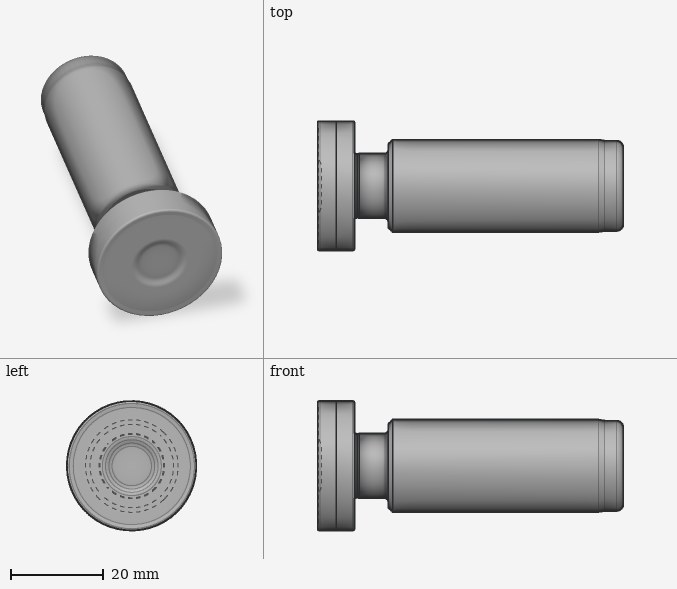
import cadquery as cq
import math

TOTAL_LENGTH = 66.0

HEAD_RADIUS = 28.0 / 2
HEAD_LENGTH = 8.0
CAP_LENGTH = HEAD_LENGTH / 2
HEAD_EDGE_ROUND = 0.45
DISH_RIM_RADIUS = 27.0 / 2
DISH_FLOOR_RADIUS = 25.3 / 2
DISH_DEPTH = 0.1
DIMPLE_MOUTH_RADIUS = 5.7
DIMPLE_WALL_WIDTH = 0.7
DIMPLE_WALL_SLOPE = math.radians(25)
DIMPLE_ROUND = 1.65

NECK_RADIUS = 14.0 / 2
NECK_START_RADIUS = 7.05
GROOVE_RADIUS = 6.85
GROOVE_BOTTOM_X = 8.6
GROOVE_END_X = 9.0
NECK_ROOT_ROUND = 0.8

SHANK_RADIUS = 20.0 / 2
SHOULDER_X = 15.25
SHOULDER_CHAMFER = 1.0
TIP_RADIUS = 19.55 / 2
TIP_TAPER_X = 60.5
TIP_TAPER_LENGTH = 1.4
TIP_ROUND = 1.6


def revolve_about_x(outline):
    """Turn a closed (x, radius) outline into a solid about the X axis."""
    return outline.revolve(360, (0, 0, 0), (1, 0, 0))


def make_cap():
    round_width = DIMPLE_ROUND * math.sin(DIMPLE_WALL_SLOPE)
    round_depth = DIMPLE_ROUND * (1 - math.cos(DIMPLE_WALL_SLOPE))
    mid_width = DIMPLE_ROUND * math.sin(DIMPLE_WALL_SLOPE / 2)
    mid_depth = DIMPLE_ROUND * (1 - math.cos(DIMPLE_WALL_SLOPE / 2))

    wall_top_x = DISH_DEPTH + round_depth
    wall_bottom_x = wall_top_x + DIMPLE_WALL_WIDTH * math.tan(DIMPLE_WALL_SLOPE)
    floor_x = wall_bottom_x + round_depth
    mouth_edge_radius = DIMPLE_MOUTH_RADIUS + round_width
    wall_bottom_radius = DIMPLE_MOUTH_RADIUS - DIMPLE_WALL_WIDTH
    floor_radius = wall_bottom_radius - round_width

    outline = (
        cq.Workplane("XY")
        .moveTo(floor_x, 0)
        .lineTo(floor_x, floor_radius)
        .threePointArc(
            (floor_x - mid_depth, floor_radius + mid_width),
            (wall_bottom_x, wall_bottom_radius),
        )
        .lineTo(wall_top_x, DIMPLE_MOUTH_RADIUS)
        .threePointArc(
            (DISH_DEPTH + mid_depth, mouth_edge_radius - mid_width),
            (DISH_DEPTH, mouth_edge_radius),
        )
        .lineTo(DISH_DEPTH, DISH_FLOOR_RADIUS)
        .lineTo(0, DISH_RIM_RADIUS)
        .lineTo(0, HEAD_RADIUS - HEAD_EDGE_ROUND)
        .radiusArc((HEAD_EDGE_ROUND, HEAD_RADIUS), HEAD_EDGE_ROUND)
        .lineTo(CAP_LENGTH, HEAD_RADIUS)
        .lineTo(CAP_LENGTH, 0)
        .close()
    )
    return revolve_about_x(outline)


def make_pin():
    outline = (
        cq.Workplane("XY")
        .moveTo(CAP_LENGTH, 0)
        .lineTo(CAP_LENGTH, HEAD_RADIUS)
        .lineTo(HEAD_LENGTH - HEAD_EDGE_ROUND, HEAD_RADIUS)
        .radiusArc((HEAD_LENGTH, HEAD_RADIUS - HEAD_EDGE_ROUND), HEAD_EDGE_ROUND)
        .lineTo(HEAD_LENGTH, NECK_START_RADIUS)
        .lineTo(GROOVE_BOTTOM_X, GROOVE_RADIUS)
        .lineTo(GROOVE_END_X, NECK_RADIUS)
        .lineTo(SHOULDER_X - NECK_ROOT_ROUND, NECK_RADIUS)
        .radiusArc((SHOULDER_X, NECK_RADIUS + NECK_ROOT_ROUND), -NECK_ROOT_ROUND)
        .lineTo(SHOULDER_X, SHANK_RADIUS - SHOULDER_CHAMFER)
        .lineTo(SHOULDER_X + SHOULDER_CHAMFER, SHANK_RADIUS)
        .lineTo(TIP_TAPER_X, SHANK_RADIUS)
        .lineTo(TIP_TAPER_X + TIP_TAPER_LENGTH, TIP_RADIUS)
        .lineTo(TOTAL_LENGTH - TIP_ROUND, TIP_RADIUS)
        .radiusArc((TOTAL_LENGTH, TIP_RADIUS - TIP_ROUND), TIP_ROUND)
        .lineTo(TOTAL_LENGTH, 0)
        .close()
    )
    return revolve_about_x(outline)


cap = make_cap()
pin = make_pin()

result = cq.Compound.makeCompound([cap.val(), pin.val()])